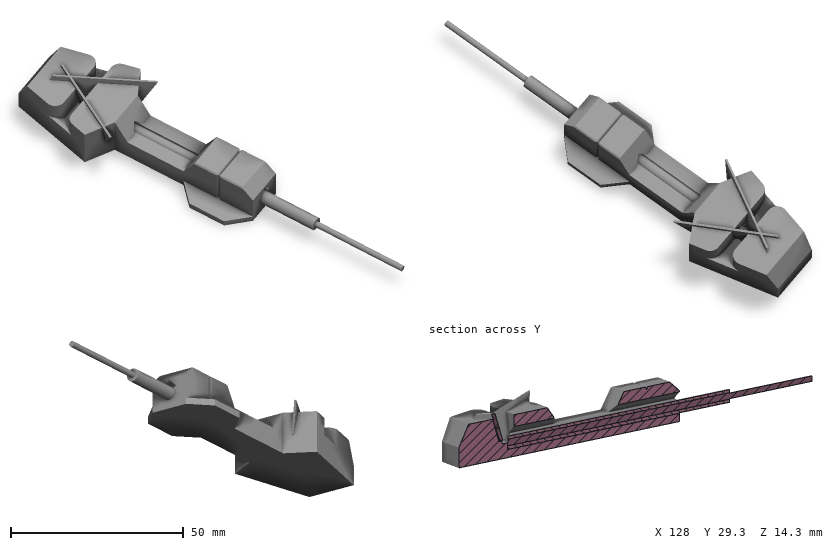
import cadquery as cq
import math

overall_height = 14.3
body_height = 12.7
rail_z = 6.4

head_front_half = 8.0
head_wide_half = 29.3 / 2
head_wide_x = 27.4
head_end_x = 32.1
nose_bevel_z = 6.1
nose_bevel_run = 3.6

rail_half = 6.0
rail_start_x = 36.6
foot_length = 24.0
foot_half = 12.0
foot_corner = foot_half - rail_half
foot_thickness = 1.9
body_end_x = 80.0
block_start_x = body_end_x - foot_length
block_top_start_x = 59.8
block_top_end_x = 76.3
block_rear_z = 9.3
block_edge_chamfer = 0.4

slot_start_x = 15.7
slot_end_x = 20.0
slot_floor_z = 7.3
slot_corner_radius = 3.1
pit_rim_inset = 1.0
pit_floor_inset = 5.2

groove_x = 68.0
groove_lip_radius = 1.0
groove_top_lift = 0.1

axis_z = 4.6
sleeve_diameter = 4.0
sleeve_start_x = 17.8
sleeve_end_x = 98.0
wire_diameter = 1.8
wire_end_x = 128
channel_mouth = 3.2
roof_half = 2.5

blade_depth = 8.8
blade_thickness = 0.6
blade_cross_x = 12.5
blade_front_reach = 4.9
blade_rear_reach = 25.6
blade_end_rake = 5.1
blade_tilt = 9
blade_angle = 29
blade_top_z = overall_height - blade_thickness / 2 * math.sin(math.radians(blade_tilt))
lap_z = blade_top_z - blade_depth / 2

pick_margin = 0.1


def prism(points, bottom_z, top_z):
    """Upright prism over a closed XY outline."""
    return cq.Workplane("XY").workplane(offset=bottom_z).polyline(points).close().extrude(top_z - bottom_z)


def box(x_range, half_width, z_range):
    """Box centred on y = 0 between the given X and Z limits."""
    outline = [(x_range[0], -half_width), (x_range[1], -half_width),
               (x_range[1], half_width), (x_range[0], half_width)]
    return prism(outline, *z_range)


def rod(diameter, start_x, end_x):
    """Round rod along X on the sleeve axis."""
    return (
        cq.Workplane("YZ", origin=(start_x, 0, axis_z))
        .circle(diameter / 2)
        .extrude(end_x - start_x)
    )


def mirrored_outline(half):
    """Closes an upper half outline with its mirror image below y = 0."""
    return half + [(x, -y) for x, y in reversed(half)]


def wall_half(x):
    """Half width of the tapered head at x."""
    return head_front_half + (head_wide_half - head_front_half) * x / head_wide_x


def head_block():
    half = [(0, head_front_half), (head_wide_x, head_wide_half), (head_end_x, rail_half)]
    return prism(mirrored_outline(half), 0, body_height)


def nose_bevel():
    """Wedge above the sloped front face of the head."""
    return (
        cq.Workplane("XZ")
        .polyline([(0, nose_bevel_z), (nose_bevel_run, body_height), (0, body_height)])
        .close()
        .extrude(head_wide_half, both=True)
    )


def slot_void():
    """Full-height cross slot, flared at both walls by the rounded corners."""
    whole = head_block()
    split = whole.cut(box((slot_start_x, slot_end_x), head_wide_half, (0, body_height)))
    corners = cq.selectors.BoxSelector(
        (slot_start_x - pick_margin, -head_wide_half, 0),
        (slot_end_x + pick_margin, head_wide_half, body_height),
    )
    return whole.cut(split.edges("|Z").edges(corners).fillet(slot_corner_radius))


def pit():
    """Sloped-sided hollow between the slot floor and the sleeve axis."""
    def outline(inset):
        half = [(x, wall_half(x) - inset) for x in (0, head_wide_x)]
        return mirrored_outline(half)

    return (
        cq.Workplane("XY", origin=(0, 0, axis_z))
        .polyline(outline(pit_floor_inset))
        .close()
        .workplane(offset=slot_floor_z - axis_z)
        .polyline(outline(pit_rim_inset))
        .close()
        .loft(ruled=True)
    )


def rail_and_block():
    """Side profile of the rail and the rear block, with the block's top edges chamfered."""
    profile = [
        (slot_end_x, 0), (body_end_x, 0), (body_end_x, block_rear_z),
        (block_top_end_x, body_height), (block_top_start_x, body_height),
        (block_start_x, rail_z), (rail_start_x, rail_z),
        (head_end_x, body_height), (slot_end_x, body_height),
    ]
    rail = cq.Workplane("XZ").polyline(profile).close().extrude(rail_half, both=True)
    top_edges = cq.selectors.BoxSelector(
        (block_top_start_x, -foot_half, body_height - pick_margin),
        (block_top_end_x, foot_half, body_height + pick_margin),
    )
    return rail.edges("|X").edges(top_edges).chamfer(block_edge_chamfer)


def foot():
    half = [
        (block_start_x, foot_half - foot_corner),
        (block_start_x + foot_corner, foot_half),
        (body_end_x - foot_corner, foot_half),
        (body_end_x, foot_half - foot_corner),
    ]
    return prism(mirrored_outline(half), 0, foot_thickness)


def cusp_sketch(facing, origin):
    """Groove section: two quarter-round lips that meet in a cusp pointing along local -Y."""
    r = groove_lip_radius
    bulge = r * (1 - math.sqrt(0.5))
    return (
        cq.Workplane(cq.Plane(origin=origin, xDir=(1, 0, 0), normal=facing))
        .moveTo(-r, 0)
        .threePointArc((-bulge, -bulge), (0, -r))
        .threePointArc((bulge, -bulge), (r, 0))
        .lineTo(r, r)
        .lineTo(-r, r)
        .close()
    )


def block_groove():
    """Cusp groove across the top and down both sides of the rear block."""
    top_origin = (groove_x, rail_half, body_height + groove_top_lift)
    groove = cusp_sketch((0, -1, 0), top_origin).extrude(2 * rail_half)
    side = cusp_sketch((0, 0, 1), (groove_x, rail_half, foot_thickness)).extrude(body_height)
    return groove.union(side).union(side.mirror("XZ"))


def sleeve_channel():
    """Snap-in bore with a narrow mouth on the rail and a 45 degree roof through the raised parts."""
    bore = rod(sleeve_diameter, sleeve_start_x, body_end_x)
    mouth = box((slot_end_x, body_end_x), channel_mouth / 2, (axis_z, rail_z))
    roof = (
        cq.Workplane("YZ", origin=(slot_end_x, 0, rail_z))
        .polyline([(-roof_half, 0), (roof_half, 0), (0, roof_half)])
        .close()
        .extrude(body_end_x - slot_end_x)
    )
    return bore.union(mouth).union(roof)


def make_housing(blades):
    """Head, rail, block and foot in one piece, with a matching recess for every inserted body."""
    slot = slot_void()
    upper_slot = slot.intersect(box((0, head_end_x), head_wide_half, (slot_floor_z, body_height)))
    housing = head_block().cut(nose_bevel()).union(rail_and_block())
    housing = housing.cut(block_groove()).union(foot())
    housing = housing.cut(upper_slot).cut(slot.intersect(pit())).cut(sleeve_channel())
    for blade in blades:
        housing = housing.cut(blade)
    return max(housing.solids().vals(), key=lambda solid: solid.Volume())


def blade_plate(side):
    """Uncut blade; side = 1 points its rear end to +Y, side = -1 to -Y."""
    profile = [
        (-blade_front_reach, 0),
        (blade_rear_reach, 0),
        (blade_rear_reach - blade_end_rake, -blade_depth),
        (-blade_front_reach - blade_end_rake, -blade_depth),
    ]
    plate = cq.Workplane("XZ").polyline(profile).close().extrude(blade_thickness / 2, both=True)
    return (
        plate.rotate((0, 0, 0), (1, 0, 0), -side * blade_tilt)
        .rotate((0, 0, 0), (0, 0, 1), side * blade_angle)
        .translate((blade_cross_x, 0, blade_top_z))
    )


def make_blades():
    """The two blades, half-lapped where they cross."""
    blades = []
    for side in (1, -1):
        lap_range = (lap_z, overall_height) if side == 1 else (0, lap_z)
        lap = blade_plate(-side).intersect(box((0, wire_end_x), foot_half, lap_range))
        blades.append(blade_plate(side).cut(lap))
    return blades


def make_wire():
    return rod(wire_diameter, sleeve_start_x, wire_end_x)


def make_sleeve(blades):
    """Tube round the wire, notched where the blades pass over its front end."""
    sleeve = rod(sleeve_diameter, sleeve_start_x, sleeve_end_x)
    sleeve = sleeve.cut(rod(wire_diameter, sleeve_start_x, sleeve_end_x))
    for blade in blades:
        sleeve = sleeve.cut(blade)
    return sleeve


blades = make_blades()
housing = make_housing(blades)
sleeve = make_sleeve(blades)
wire = make_wire()

result = cq.Compound.makeCompound(
    [housing, *[blade.solids().val() for blade in blades], sleeve.solids().val(), wire.val()]
)